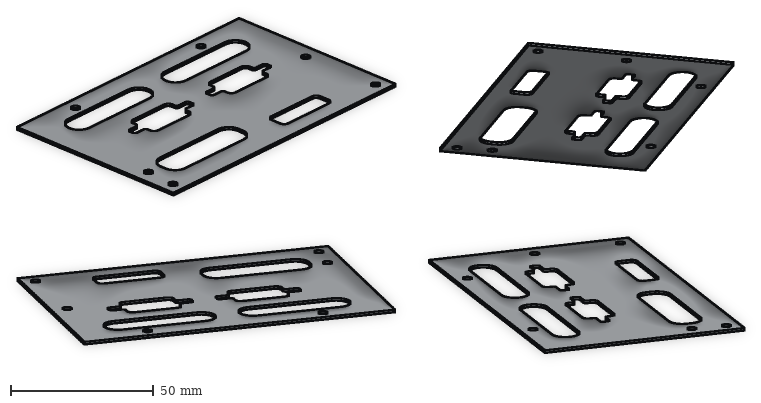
import cadquery as cq

PLATE_WIDTH = 75.0
PLATE_LENGTH = 115.0
PLATE_THICKNESS = 1.0

HOLE_DIAMETER = 3.2
EDGE_HOLE_INSET = 4.9
CORNER_HOLE_END_INSET = 5.0
LEFT_HOLE_END_INSET = 25.0
END_HOLE_INSET = 6.0
TOP_HOLE_X = PLATE_WIDTH / 2
BOTTOM_HOLE_X = 57.5

LONG_SLOT_WIDTH = 10.0
LONG_SLOT_LENGTH = 41.0
LONG_SLOT_X = 14.0
LONG_SLOT_INSET = 32.5

WIDE_SLOT_WIDTH = 12.0
WIDE_SLOT_LENGTH = 40.0
WIDE_SLOT_RADIUS = 5.0
WIDE_SLOT_CENTER = (59.0, 32.0)

WINDOW_WIDTH = 8.0
WINDOW_LENGTH = 25.0
WINDOW_RADIUS = 2.0
WINDOW_CENTER = (64.0, 77.5)

CONNECTOR_X = 32.1
CONNECTOR_WIDTH = 12.0
CONNECTOR_LENGTH = 20.0
CONNECTOR_RADIUS = 2.0
TAB_WIDTH = 3.5
TAB_SPAN = 31.0
TAB_RADIUS = 1.0
UPPER_CONNECTOR_Y = 80.0
LOWER_CONNECTOR_Y = 40.0


def at(center):
    """Workplane on the underside of the plate, centred on a layout point."""
    return cq.Workplane("XY").center(*center)


def rounded_rectangle(center, width, length, radius):
    """Cutter for a rectangle with rounded corners."""
    return at(center).rect(width, length).extrude(PLATE_THICKNESS).edges("|Z").fillet(radius)


def long_slot(center):
    """Cutter for a slot along Y with semicircular ends."""
    return at(center).slot2D(LONG_SLOT_LENGTH, LONG_SLOT_WIDTH, 90).extrude(PLATE_THICKNESS)


def connector_cutout(center):
    """Cutter for a connector body with end tabs and rounded inside corners at the tab roots."""
    body = rounded_rectangle(center, CONNECTOR_WIDTH, CONNECTOR_LENGTH, CONNECTOR_RADIUS)
    tabs = rounded_rectangle(center, TAB_WIDTH, TAB_SPAN, TAB_RADIUS)
    cutout = body.union(tabs)
    half_tab = TAB_WIDTH / 2
    half_body = CONNECTOR_LENGTH / 2
    for side in (-1, 1):
        for end in (-1, 1):
            root = (center[0] + side * half_tab, center[1] + end * half_body, PLATE_THICKNESS / 2)
            cutout = cutout.edges(cq.selectors.NearestToPointSelector(root)).fillet(TAB_RADIUS)
    return cutout


def mounting_holes():
    """Cutter for all the mounting holes."""
    right_x = PLATE_WIDTH - EDGE_HOLE_INSET
    positions = [
        (right_x, CORNER_HOLE_END_INSET),
        (right_x, PLATE_LENGTH - CORNER_HOLE_END_INSET),
        (EDGE_HOLE_INSET, LEFT_HOLE_END_INSET),
        (EDGE_HOLE_INSET, PLATE_LENGTH - LEFT_HOLE_END_INSET),
        (TOP_HOLE_X, PLATE_LENGTH - END_HOLE_INSET),
        (BOTTOM_HOLE_X, END_HOLE_INSET),
    ]
    return (
        cq.Workplane("XY")
        .pushPoints(positions)
        .circle(HOLE_DIAMETER / 2)
        .extrude(PLATE_THICKNESS)
    )


cutters = [
    mounting_holes(),
    long_slot((LONG_SLOT_X, LONG_SLOT_INSET)),
    long_slot((LONG_SLOT_X, PLATE_LENGTH - LONG_SLOT_INSET)),
    rounded_rectangle(WIDE_SLOT_CENTER, WIDE_SLOT_WIDTH, WIDE_SLOT_LENGTH, WIDE_SLOT_RADIUS),
    rounded_rectangle(WINDOW_CENTER, WINDOW_WIDTH, WINDOW_LENGTH, WINDOW_RADIUS),
    connector_cutout((CONNECTOR_X, UPPER_CONNECTOR_Y)),
    connector_cutout((CONNECTOR_X, LOWER_CONNECTOR_Y)),
]

result = cq.Workplane("XY").box(PLATE_WIDTH, PLATE_LENGTH, PLATE_THICKNESS, centered=False)
for cutter in cutters:
    result = result.cut(cutter)